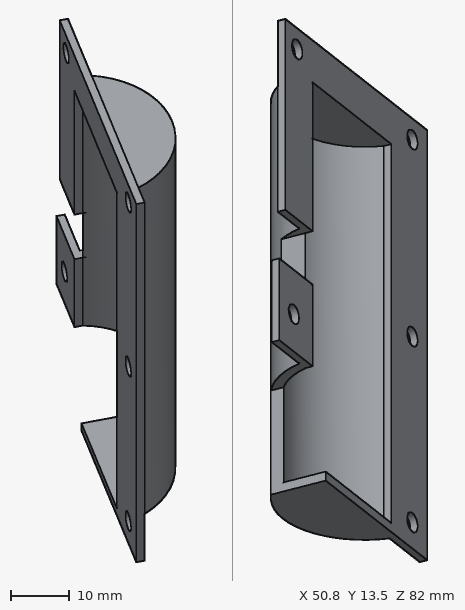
import cadquery as cq

overall_width = 50.75
height = 82
plate_thickness = 1.5
plate_left = 2.05

housing_depth = 13.5
outer_radius = 16.0
wall = 2.0
inner_radius = outer_radius - wall
axis_x = 24.9
axis_y = housing_depth - outer_radius
floor_thickness = 1.7
cavity_top = 74.0
roof_thickness = 1.5
housing_top = cavity_top + roof_thickness

opening_width = 27.0
opening_left = axis_x - opening_width / 2

tab_bottom = 19.85
tab_top = 35.4
slot_top = 45.6
corner_cut_right = 15.9

hole_diameter = 3.5
right_hole_x = 45.7
top_hole_z = 78.0
hole_centers = [
    (6.15, top_hole_z),
    (right_hole_x, top_hole_z),
    (right_hole_x, 40.4),
    (right_hole_x, 5.0),
    (5.0, 27.0),
]


def block(x_range, y_range, z_range):
    """Box spanning the given (low, high) ranges."""
    low, high = zip(x_range, y_range, z_range)
    size = [b - a for a, b in zip(low, high)]
    return cq.Workplane("XY").box(*size, centered=False).translate(low)


def half_round(radius, front, bottom, top):
    """Part of an upright cylinder that lies behind y = front."""
    cylinder = (
        cq.Workplane("XY", origin=(axis_x, axis_y, bottom)).circle(radius).extrude(top - bottom)
    )
    behind = block((0, overall_width), (front, housing_depth), (bottom, top))
    return cylinder.intersect(behind)


through_depth = (0, housing_depth)

body = block((plate_left, overall_width), (0, plate_thickness), (0, height))
body = body.union(half_round(outer_radius, 0, 0, housing_top))

body = body.cut(half_round(inner_radius, plate_thickness, floor_thickness, cavity_top))
body = body.cut(
    block(
        (opening_left, opening_left + opening_width),
        (0, plate_thickness),
        (floor_thickness, cavity_top),
    )
)

body = body.cut(block((0, opening_left), through_depth, (tab_top, slot_top)))
body = body.cut(block((0, corner_cut_right), through_depth, (0, tab_bottom)))

body = body.union(
    block((0, opening_left), (0, plate_thickness), (tab_bottom, tab_top))
)

holes = (
    cq.Workplane("XZ")
    .pushPoints(hole_centers)
    .circle(hole_diameter / 2)
    .extrude(-plate_thickness)
)
result = body.cut(holes)